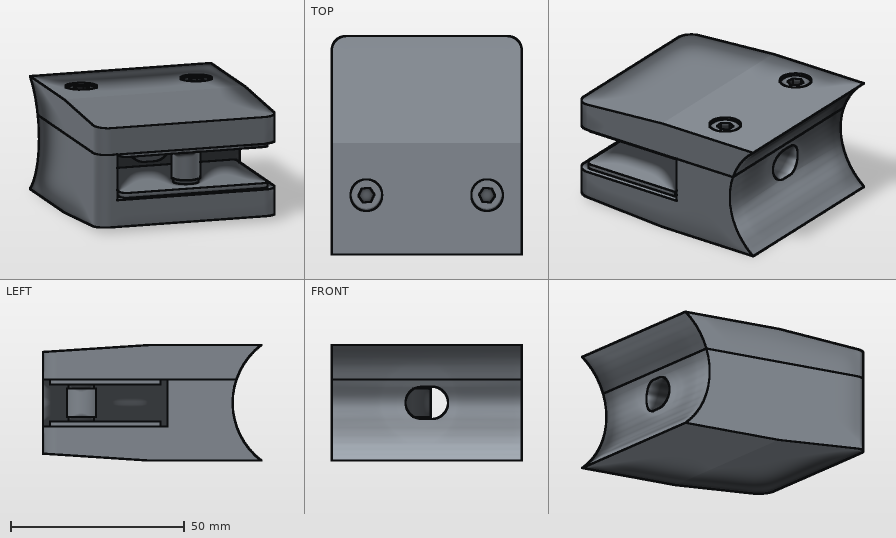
import cadquery as cq
import math

WIDTH = 55.0
LENGTH = 63.2
HEIGHT = 33.5

BACK_HEIGHT = 29.45
TAPER_START_Y = 32.25
CORNER_RADIUS = 4.2
TUBE_RADIUS = 21.0
TUBE_CENTER_Y = -math.sqrt(TUBE_RADIUS**2 - (HEIGHT / 2) ** 2)

SLOT_HEIGHT = 13.6
SLOT_FRONT_Y = 27.25
SIDE_WALL = 6.0
SLOT_CENTER_X = -SIDE_WALL / 2
SLOT_WIDTH = WIDTH - SIDE_WALL

OBLONG_LENGTH = 12.25
OBLONG_HEIGHT = 9.3

PAD_THICKNESS = 1.45
PAD_MARGIN = 2.0
PAD_CORNER_RADIUS = CORNER_RADIUS - PAD_MARGIN

PIN_Y = 52.1
PIN_DIAMETER = 8.4
PIN_HEIGHT = 8.2
PIN_NECK_DIAMETER = 7.4
PIN_LENGTH = SLOT_HEIGHT - 2 * PAD_THICKNESS

SCREW_X = 17.45
SCREW_Y = 17.2
SCREW_HEAD_DIAMETER = 9.15
SCREW_HEAD_HEIGHT = 5.05
SCREW_HEAD_FILLET = 0.6
SCREW_RECESS = 0.5
SCREW_SHANK_DIAMETER = 5.05
SCREW_SHANK_LENGTH = 18.95
SOCKET_ACROSS_CORNERS = 4.7
SOCKET_DEPTH = 2.5
SOCKET_TURN = 5.0
HEAD_TOP_Z = HEIGHT / 2 - SCREW_RECESS
HEAD_SEAT_Z = HEAD_TOP_Z - SCREW_HEAD_HEIGHT

SCREW_POSITIONS = [(-SCREW_X, SCREW_Y), (SCREW_X, SCREW_Y)]


def make_envelope():
    """Whole clamp block: side profile with the tube seat, rounded at the back corners."""
    half_front = HEIGHT / 2
    half_back = BACK_HEIGHT / 2
    block = (
        cq.Workplane("YZ", origin=(-WIDTH / 2, 0, 0))
        .moveTo(0, half_front)
        .lineTo(TAPER_START_Y, half_front)
        .lineTo(LENGTH, half_back)
        .lineTo(LENGTH, -half_back)
        .lineTo(TAPER_START_Y, -half_front)
        .lineTo(0, -half_front)
        .threePointArc((TUBE_CENTER_Y + TUBE_RADIUS, 0), (0, half_front))
        .close()
        .extrude(WIDTH)
    )
    return block.edges("|Z and >Y").fillet(CORNER_RADIUS)


def make_upper_half():
    """Space above the parting plane, which lies on the slot's upper face."""
    return (
        cq.Workplane("XY", origin=(0, LENGTH / 2, SLOT_HEIGHT / 2))
        .rect(2 * WIDTH, 2 * LENGTH)
        .extrude(HEIGHT)
    )


def make_screw(x, y, socket_turn):
    """Socket-head screw, head up, with its hexagon turned about the screw axis."""
    head = (
        cq.Workplane("XY", origin=(x, y, HEAD_SEAT_Z))
        .circle(SCREW_HEAD_DIAMETER / 2)
        .extrude(SCREW_HEAD_HEIGHT)
        .faces(">Z")
        .edges()
        .fillet(SCREW_HEAD_FILLET)
    )
    shank = (
        cq.Workplane("XY", origin=(x, y, HEAD_SEAT_Z))
        .circle(SCREW_SHANK_DIAMETER / 2)
        .extrude(-SCREW_SHANK_LENGTH)
    )
    socket = (
        cq.Workplane("XY", origin=(x, y, HEAD_TOP_Z))
        .transformed(rotate=(0, 0, socket_turn))
        .polygon(6, SOCKET_ACROSS_CORNERS)
        .extrude(-SOCKET_DEPTH)
    )
    return head.union(shank).cut(socket)


def make_screw_holes():
    """Counterbored holes that the screws sit in."""
    counterbores = (
        cq.Workplane("XY", origin=(0, 0, HEAD_SEAT_Z))
        .pushPoints(SCREW_POSITIONS)
        .circle(SCREW_HEAD_DIAMETER / 2)
        .extrude(HEIGHT)
    )
    shank_holes = (
        cq.Workplane("XY", origin=(0, 0, HEAD_SEAT_Z))
        .pushPoints(SCREW_POSITIONS)
        .circle(SCREW_SHANK_DIAMETER / 2)
        .extrude(-SCREW_SHANK_LENGTH)
    )
    return counterbores.union(shank_holes)


def make_cover():
    """Upper jaw, a separate plate above the parting plane."""
    return make_envelope().intersect(make_upper_half()).cut(make_screw_holes())


def make_base():
    """Lower jaw with the solid tube end and the side wall."""
    slot_length = LENGTH - SLOT_FRONT_Y
    slot = cq.Workplane("XY").box(SLOT_WIDTH, slot_length, SLOT_HEIGHT).translate(
        (SLOT_CENTER_X, SLOT_FRONT_Y + slot_length / 2, 0)
    )
    oblong_hole = (
        cq.Workplane("XZ")
        .slot2D(OBLONG_LENGTH, OBLONG_HEIGHT)
        .extrude(-SLOT_FRONT_Y)
    )
    return (
        make_envelope()
        .cut(make_upper_half())
        .cut(slot)
        .cut(oblong_hole)
        .cut(make_screw_holes())
    )


def make_pad(bottom_z):
    """Flat pad, inset from the edges of the slot and rounded at the back corners."""
    pad_width = SLOT_WIDTH - 2 * PAD_MARGIN
    front_y = SLOT_FRONT_Y + PAD_MARGIN
    pad_length = LENGTH - PAD_MARGIN - front_y
    return (
        cq.Workplane("XY", origin=(SLOT_CENTER_X, front_y + pad_length / 2, bottom_z))
        .rect(pad_width, pad_length)
        .extrude(PAD_THICKNESS)
        .edges("|Z and >Y")
        .fillet(PAD_CORNER_RADIUS)
    )


def make_pin():
    """Round pin with a thinner neck at each end."""
    neck = (
        cq.Workplane("XY", origin=(SLOT_CENTER_X, PIN_Y, -PIN_LENGTH / 2))
        .circle(PIN_NECK_DIAMETER / 2)
        .extrude(PIN_LENGTH)
    )
    middle = (
        cq.Workplane("XY", origin=(SLOT_CENTER_X, PIN_Y, -PIN_HEIGHT / 2))
        .circle(PIN_DIAMETER / 2)
        .extrude(PIN_HEIGHT)
    )
    return neck.union(middle)


base = make_base()
cover = make_cover()
pads = [make_pad(z) for z in (-SLOT_HEIGHT / 2, SLOT_HEIGHT / 2 - PAD_THICKNESS)]
pin = make_pin()
screws = [make_screw(x, y, -math.copysign(SOCKET_TURN, x)) for x, y in SCREW_POSITIONS]

result = cq.Compound.makeCompound(
    [base.val(), cover.val(), pin.val()]
    + [pad.val() for pad in pads]
    + [screw.val() for screw in screws]
)